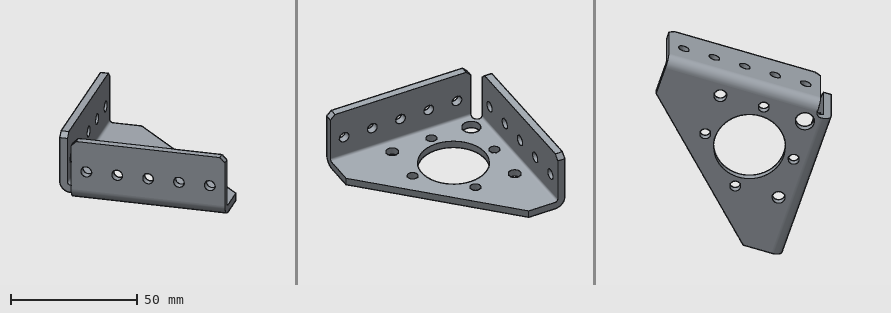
import cadquery as cq

side = 69.7
height = 25.4
thickness = 3.2
inner_bend_radius = 1.25
bend_radius = inner_bend_radius + thickness

flange_start = 6.5
flange_length = side - flange_start
relief_radius = flange_start - bend_radius

corner_chamfer = 2.1
flange_hole_count = 5
flange_hole_pitch = 12.7
flange_hole_height = height / 2
small_hole_diameter = 4.3

end_width = 16.3
bore_center = 27.3
bore_diameter = 28.45
bolt_circle_radius = 18.4
side_hole_offset = 17.9
side_hole_diameter = 5.1
corner_hole_position = 9.9
corner_hole_diameter = 7.5


def make_base():
    """Flat triangular web, ending at the two bend lines."""
    return (
        cq.Workplane("XY")
        .moveTo(bend_radius, flange_start)
        .lineTo(bend_radius, side)
        .lineTo(end_width, side)
        .lineTo(side, end_width)
        .lineTo(side, bend_radius)
        .lineTo(flange_start, bend_radius)
        .radiusArc((bend_radius, flange_start), -relief_radius)
        .close()
        .extrude(thickness)
    )


def make_flange():
    """Bent flange along X, with chamfered top corners and a row of holes."""
    flange = (
        cq.Workplane("YZ", origin=(flange_start, 0, 0))
        .moveTo(bend_radius, 0)
        .radiusArc((0, bend_radius), bend_radius)
        .lineTo(0, height)
        .lineTo(thickness, height)
        .lineTo(thickness, bend_radius)
        .radiusArc((bend_radius, thickness), -inner_bend_radius)
        .close()
        .extrude(flange_length)
    )
    flange = flange.faces(">Z").edges("|Y").chamfer(corner_chamfer)
    flange_middle = flange_start + flange_length / 2
    holes = (
        cq.Workplane("XZ", origin=(flange_middle, 0, flange_hole_height))
        .rarray(flange_hole_pitch, 0.7, flange_hole_count, 1)
        .circle(small_hole_diameter / 2)
        .extrude(-thickness)
    )
    return flange.cut(holes)


def swap_x_and_y(body):
    """Mirror a body across the vertical plane X = Y."""
    return body.mirror("XZ").rotate((0, 0, 0), (0, 0, 1), 90)


def make_base_holes(points, diameter):
    return cq.Workplane("XY").pushPoints(points).circle(diameter / 2).extrude(thickness)


front_flange = make_flange()
left_flange = swap_x_and_y(front_flange)
bracket = make_base().union(front_flange).union(left_flange)

bore_point = (bore_center, bore_center)
bolt_points = [
    (bore_center + bolt_circle_radius, bore_center),
    (bore_center, bore_center + bolt_circle_radius),
    (bore_center - bolt_circle_radius, bore_center),
    (bore_center, bore_center - bolt_circle_radius),
]
bracket = bracket.cut(make_base_holes([bore_point], bore_diameter))
bracket = bracket.cut(make_base_holes(bolt_points, small_hole_diameter))

near = bore_center - side_hole_offset
far = bore_center + side_hole_offset
corner_point = (corner_hole_position, corner_hole_position)
bracket = bracket.cut(make_base_holes([(near, far), (far, near)], side_hole_diameter))
bracket = bracket.cut(make_base_holes([corner_point], corner_hole_diameter))

result = bracket.translate((-side / 2, -side / 2, 0))